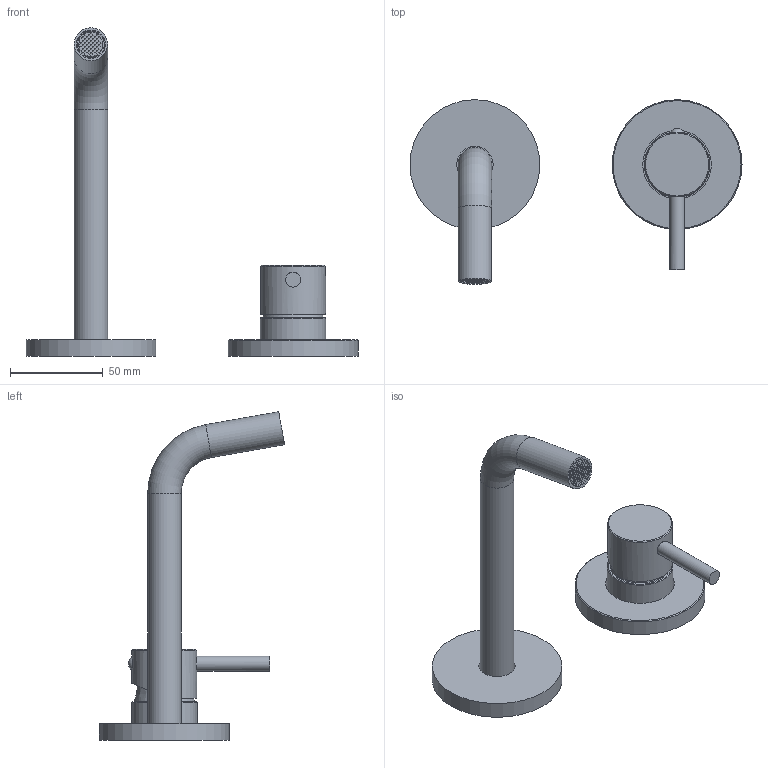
import cadquery as cq
import math

flange_radius = 35.0
flange_height = 9.0
seat_height = 4.5
fitting_spacing = 109.0
mixer_flange_chamfer = 0.5

spout_radius = 9.0
spout_clearance_radius = 9.8
spout_reach = 64.78
spout_top = 177.08
outlet_tilt = math.radians(10.0)
bend_radius = 28.8

aerator_bore_radius = 7.8
aerator_recess = 0.6
groove_outer_radius = 7.3
groove_inner_radius = 6.5
aerator_depth = 3.0
mesh_radius = 5.5
mesh_pitch = 1.525
mesh_hole_size = 1.3

sleeve_radius = 17.7
sleeve_top = 20.8
sleeve_chamfer = 0.4
mixer_clearance_radius = 18.5
neck_base_radius = 16.2
neck_top_radius = 14.1
neck_top = 31.0

handle_radius = 17.5
handle_bottom = 22.7
handle_top = 49.0
handle_chamfer = 0.5
relief_start_y = -1.0
relief_angle = math.radians(23.5)

lever_radius = 4.0
lever_height = 41.3
lever_front = 56.7
lever_back = 19.5


def make_flange(x, seat_radius, clearance_radius):
    base = cq.Workplane("XY").center(x, 0)
    disc = base.circle(flange_radius).circle(seat_radius).extrude(flange_height)
    clearance = base.workplane(offset=seat_height).circle(clearance_radius).extrude(flange_height)
    return disc.cut(clearance)


outlet_y = -(spout_reach - spout_radius * math.sin(outlet_tilt))
outlet_z = spout_top - spout_radius * math.cos(outlet_tilt)
outlet_direction = cq.Vector(0, -math.cos(outlet_tilt), math.sin(outlet_tilt))


def make_spout_tube():
    bend_run = bend_radius * (1 - math.sin(outlet_tilt))
    bend_rise = bend_radius * math.cos(outlet_tilt)
    straight_run = -outlet_y - bend_run
    bend_end_z = outlet_z - straight_run * math.tan(outlet_tilt)
    bend_start_z = bend_end_z - bend_rise
    middle_angle = (math.pi / 2 - outlet_tilt) / 2
    bend_middle = (
        -bend_radius * (1 - math.cos(middle_angle)),
        bend_start_z + bend_radius * math.sin(middle_angle),
    )
    path = (
        cq.Workplane("YZ")
        .lineTo(0, bend_start_z)
        .threePointArc(bend_middle, (-bend_run, bend_end_z))
        .lineTo(outlet_y, outlet_z)
    )
    return cq.Workplane("XY").circle(spout_radius).sweep(path)


def mesh_hole_centres():
    steps = math.ceil(mesh_radius / mesh_pitch)
    centres = []
    for column in range(-steps, steps):
        for row in range(-steps, steps):
            centre = ((column + 0.5) * mesh_pitch, (row + 0.5) * mesh_pitch)
            if math.hypot(*centre) <= mesh_radius:
                centres.append(centre)
    return centres


def cut_aerator(tube):
    diagonal = cq.Vector(1, 0, 0) + outlet_direction.cross(cq.Vector(1, 0, 0))
    face = cq.Workplane(cq.Plane((0, outlet_y, outlet_z), diagonal, outlet_direction))
    recess = face.circle(aerator_bore_radius).extrude(-aerator_recess)
    groove = face.circle(groove_outer_radius).circle(groove_inner_radius).extrude(-aerator_depth)
    holes = face.pushPoints(mesh_hole_centres()).rect(mesh_hole_size, mesh_hole_size).extrude(-aerator_depth)
    return tube.cut(recess).cut(groove).cut(holes)


def make_handle():
    knob = (
        cq.Workplane("XY", origin=(0, 0, handle_bottom))
        .circle(handle_radius)
        .extrude(handle_top - handle_bottom)
        .faces(">Z")
        .chamfer(handle_chamfer)
    )
    relief_run = 2 * handle_radius
    relief = (
        cq.Workplane("YZ")
        .moveTo(relief_start_y, handle_bottom)
        .lineTo(relief_start_y + relief_run, handle_bottom)
        .lineTo(relief_start_y + relief_run, handle_bottom + relief_run * math.tan(relief_angle))
        .close()
        .extrude(handle_radius, both=True)
    )
    return knob.cut(relief)


def make_lever():
    dome_centre_y = lever_back - lever_radius
    rod = (
        cq.Workplane("XZ", origin=(0, dome_centre_y, lever_height))
        .circle(lever_radius)
        .extrude(lever_front + dome_centre_y)
    )
    dome = cq.Workplane("XY", origin=(0, dome_centre_y, lever_height)).sphere(lever_radius)
    return rod.union(dome)


def make_mixer():
    sleeve = cq.Workplane("XY").circle(sleeve_radius).extrude(sleeve_top)
    sleeve = sleeve.faces(">Z").chamfer(sleeve_chamfer)
    neck = (
        cq.Workplane("XZ")
        .moveTo(0, sleeve_top)
        .lineTo(neck_base_radius, sleeve_top)
        .lineTo(neck_top_radius, neck_top)
        .lineTo(0, neck_top)
        .close()
        .revolve(360, (0, 0, 0), (0, 1, 0))
    )
    body = sleeve.union(neck).union(make_handle()).union(make_lever())
    return body.translate((fitting_spacing, 0, 0))


spout_flange = make_flange(0, spout_radius, spout_clearance_radius)
spout = cut_aerator(make_spout_tube())
mixer_flange = make_flange(fitting_spacing, sleeve_radius, mixer_clearance_radius)
outer_rim = cq.selectors.RadiusNthSelector(-1)
mixer_flange = mixer_flange.faces(">Z").edges(outer_rim).chamfer(mixer_flange_chamfer)
mixer = make_mixer()

result = cq.Compound.makeCompound(
    [spout_flange.val(), spout.val(), mixer_flange.val(), mixer.val()]
)